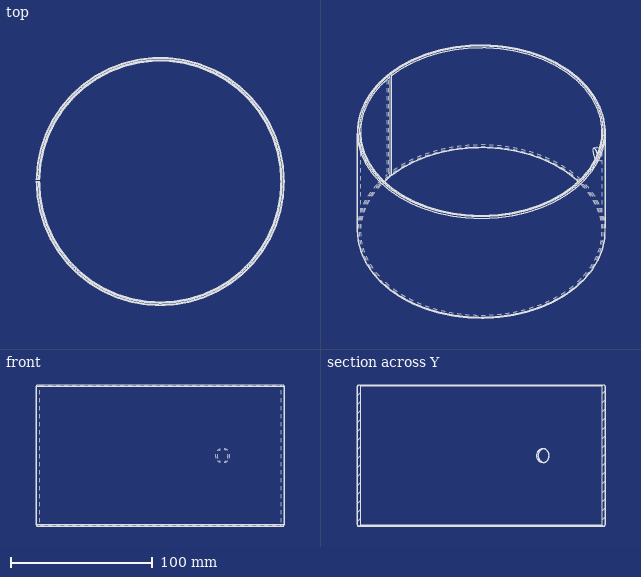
import cadquery as cq

outer_diameter = 175.0
wall = 2.5
height = 100.0
gap_width = 1.5
outer_chamfer_height = 1.4
outer_chamfer_depth = 0.5
inner_chamfer = 0.9
oil_hole_diameter = 10.0
oil_hole_angle = 59.3

outer_radius = outer_diameter / 2
inner_radius = outer_radius - wall


def sleeve():
    """Revolve the wall section, with its chamfered rims, about Z."""
    half = height / 2
    section = [
        (inner_radius, -half + inner_chamfer),
        (inner_radius + inner_chamfer, -half),
        (outer_radius - outer_chamfer_depth, -half),
        (outer_radius, -half + outer_chamfer_height),
        (outer_radius, half - outer_chamfer_height),
        (outer_radius - outer_chamfer_depth, half),
        (inner_radius + inner_chamfer, half),
        (inner_radius, half - inner_chamfer),
    ]
    return cq.Workplane("XZ").polyline(section).close().revolve(360, (0, 0), (0, 1))


def split_gap():
    """Slit through the full height of the -X wall, with one face on the XZ plane."""
    slit = cq.Workplane("XY").box(outer_radius, gap_width, height)
    return slit.translate((-outer_radius, gap_width / 2, 0))


def oil_hole():
    """Radial hole through one side of the wall at mid height."""
    drill = cq.Workplane("YZ").circle(oil_hole_diameter / 2).extrude(outer_diameter)
    return drill.rotate((0, 0, 0), (0, 0, 1), oil_hole_angle)


result = sleeve().cut(split_gap()).cut(oil_hole())